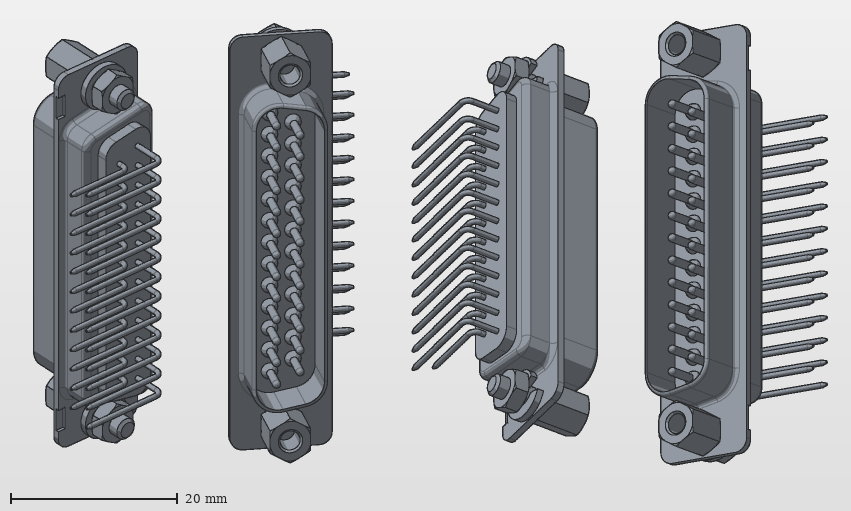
import cadquery as cq
import math


OVERALL_X = 17.2
OVERALL_Y = 16.65

FLANGE_FRONT = 5.95
FLANGE_BACK = 6.8
FLANGE_WIDTH = 12.5
FLANGE_LENGTH = 53.0
FLANGE_CORNER = 1.6
SCREW_OFFSET = 23.5
NOTCH_INNER_END = 20.8
NOTCH_OUTER_END = 23.8
NOTCH_DEPTH = 1.05

END_SLANT = math.tan(math.radians(10))
SHROUD_HALF_WIDTH = 4.6
SHROUD_HALF_LENGTH = 19.65
SHROUD_CORNER = 3.25
SHROUD_WALL = 0.5
SHROUD_TIP_ROUND = 0.4
SHROUD_FLARE = 0.6
SHELL_BACK = 10.95
SHELL_HALF_WIDTH = 5.4
SHELL_HALF_LENGTH = 20.1
SHELL_CORNER = 1.8
SHELL_BACK_ROUND = 0.8
SHELL_FLARE = 0.7
INSERT_BACK = 12.4
INSERT_HALF_WIDTH = 3.5
INSERT_HALF_LENGTH = 18.8
INSERT_CORNER = 1.95

PITCH = 2.75
ROW_OFFSET = 1.45
LONG_ROW_COUNT = 13
PIN_DIAMETER = 1.0
PIN_TIP_X = 0.9
BASE_DOME_RADIUS = 1.0
LEAD_DIAMETER = 0.7
LEAD_BEND = 0.95
LONG_LEAD_X = OVERALL_X - LEAD_DIAMETER / 2
SHORT_LEAD_X = LONG_LEAD_X - 2 * ROW_OFFSET
LEAD_END_Y = FLANGE_WIDTH / 2 - OVERALL_Y
LEAD_TAPER = 0.65
LEAD_END_DIAMETER = 0.3
COS_45 = math.sqrt(0.5)

STANDOFF_FLATS = 4.95
STANDOFF_BORE = 2.45
STANDOFF_BORE_DEPTH = 3.7
STANDOFF_COUNTERSINK = 3.0
COUNTERSINK_ANGLE = 90
STUD_DIAMETER = 2.75
STUD_END = 12.25
STUD_CHAMFER = 0.35
NUT_FLATS = 4.85
NUT_FRONT = 8.5
NUT_BACK = 10.45
HEX_CHAMFER_LENGTH = 0.15
HEX_CHAMFER_DEPTH = 0.3
WASHER_RADIUS = 3.1
WASHER_THICKNESS = 0.85
WASHER_GAP_ANGLE = 30.0
WASHER_OVERLAP = 0.05


def cylinder(x_start, x_end, radius, y=0.0, z=0.0):
    """Round bar parallel to X."""
    return cq.Workplane("YZ", origin=(x_start, y, z)).circle(radius).extrude(x_end - x_start)


def d_block(x_start, x_end, half_width, half_length, corner):
    """Block of D-shaped section, longer on its +Y side, with rounded corners."""
    shift = half_width * END_SLANT
    outline = [
        (half_width, half_length + shift),
        (-half_width, half_length - shift),
        (-half_width, -half_length + shift),
        (half_width, -half_length - shift),
    ]
    block = cq.Workplane("YZ", origin=(x_start, 0, 0)).polyline(outline).close()
    return block.extrude(x_end - x_start).edges("|X").fillet(corner)


def root_edges(body, x):
    """Edges in the plane at x that lie between the jackscrews and inside the flange sides."""
    reach = 0.005
    half_width = FLANGE_WIDTH / 2 - reach
    box = cq.selectors.BoxSelector(
        (x - reach, -half_width, -SCREW_OFFSET),
        (x + reach, half_width, SCREW_OFFSET),
    )
    return body.edges(box)


def make_shell():
    """Flange with the front shroud, the rear shell and the insulator behind it."""
    flange = (
        cq.Workplane("YZ", origin=(FLANGE_FRONT, 0, 0))
        .rect(FLANGE_WIDTH, FLANGE_LENGTH)
        .extrude(FLANGE_BACK - FLANGE_FRONT)
        .edges("|X").fillet(FLANGE_CORNER)
    )
    shroud = d_block(0, FLANGE_FRONT, SHROUD_HALF_WIDTH, SHROUD_HALF_LENGTH, SHROUD_CORNER)
    shroud = shroud.faces("<X").edges().fillet(SHROUD_TIP_ROUND)
    rear = d_block(FLANGE_BACK, SHELL_BACK, SHELL_HALF_WIDTH, SHELL_HALF_LENGTH, SHELL_CORNER)
    rear = rear.faces(">X").edges().fillet(SHELL_BACK_ROUND)
    shell = flange.union(shroud).union(rear)

    shell = root_edges(shell, FLANGE_FRONT).fillet(SHROUD_FLARE)
    shell = root_edges(shell, FLANGE_BACK).fillet(SHELL_FLARE)

    cavity = d_block(
        0,
        FLANGE_FRONT,
        SHROUD_HALF_WIDTH - SHROUD_WALL,
        SHROUD_HALF_LENGTH - SHROUD_WALL * math.hypot(1, END_SLANT),
        SHROUD_CORNER - SHROUD_WALL,
    )
    insert = d_block(SHELL_BACK, INSERT_BACK, INSERT_HALF_WIDTH, INSERT_HALF_LENGTH, INSERT_CORNER)
    return shell.cut(cavity).union(insert)


def cut_flange_details(shell):
    """Screw holes and edge notches at both ends of the flange."""
    notch_front = (FLANGE_FRONT + FLANGE_BACK) / 2
    for end in (1, -1):
        hole = cylinder(FLANGE_FRONT, FLANGE_BACK, STUD_DIAMETER / 2, z=end * SCREW_OFFSET)
        notch = cq.Workplane("XY").box(
            FLANGE_BACK - notch_front,
            NOTCH_DEPTH,
            NOTCH_OUTER_END - NOTCH_INNER_END,
            centered=(False, False, True),
        )
        notch_middle = end * (NOTCH_INNER_END + NOTCH_OUTER_END) / 2
        shell = shell.cut(hole).cut(notch.translate((notch_front, -FLANGE_WIDTH / 2, notch_middle)))
    return shell


def make_contact(y, z, lead_x):
    """Contact with a round-nosed pin, a dome at its base and a lead bent toward -Y."""
    pin_radius = PIN_DIAMETER / 2
    nose_mid = pin_radius * COS_45
    dome_mid = BASE_DOME_RADIUS * COS_45
    dome_top_x = FLANGE_FRONT - math.sqrt(BASE_DOME_RADIUS ** 2 - pin_radius ** 2)
    pin = (
        cq.Workplane("XY", origin=(0, y, z))
        .moveTo(PIN_TIP_X, 0)
        .threePointArc((PIN_TIP_X + pin_radius - nose_mid, nose_mid), (PIN_TIP_X + pin_radius, pin_radius))
        .lineTo(dome_top_x, pin_radius)
        .threePointArc((FLANGE_FRONT - dome_mid, dome_mid), (FLANGE_FRONT, BASE_DOME_RADIUS))
        .lineTo(FLANGE_FRONT, 0)
        .close()
        .revolve(360, (0, 0, 0), (1, 0, 0))
    )

    taper_start = LEAD_END_Y + LEAD_TAPER
    bend_mid = LEAD_BEND * (1 - COS_45)
    path = (
        cq.Workplane("XY", origin=(0, 0, z))
        .moveTo(INSERT_BACK, y)
        .lineTo(lead_x - LEAD_BEND, y)
        .threePointArc((lead_x - bend_mid, y - bend_mid), (lead_x, y - LEAD_BEND))
        .lineTo(lead_x, taper_start)
    )
    lead = cq.Workplane("YZ", origin=(INSERT_BACK, y, z)).circle(LEAD_DIAMETER / 2).sweep(path)
    tip = cq.Workplane(
        cq.Solid.makeCone(
            LEAD_DIAMETER / 2,
            LEAD_END_DIAMETER / 2,
            LEAD_TAPER,
            cq.Vector(lead_x, taper_start, z),
            cq.Vector(0, -1, 0),
        )
    )
    return pin, lead.union(tip)


def make_connector():
    """Shell with all its contacts as one body."""
    connector = cut_flange_details(make_shell())
    rows = (
        (ROW_OFFSET, LONG_ROW_COUNT, LONG_LEAD_X),
        (-ROW_OFFSET, LONG_ROW_COUNT - 1, SHORT_LEAD_X),
    )
    parts = []
    for y, count, lead_x in rows:
        for i in range(count):
            z = (i - (count - 1) / 2) * PITCH
            parts.extend(part.val() for part in make_contact(y, z, lead_x))
    return cq.Workplane(connector.val().fuse(*parts))


def hex_prism(x_start, x_end, across_flats):
    """Hexagonal bar along X with corners toward +Z and -Z, chamfered at both ends."""
    corner_radius = across_flats / math.sqrt(3)
    prism = (
        cq.Workplane("YZ", origin=(x_start, 0, 0))
        .polygon(6, 2 * corner_radius)
        .extrude(x_end - x_start)
        .rotate((0, 0, 0), (1, 0, 0), 90)
    )
    trim_bar = cylinder(x_start, x_end, corner_radius)
    trim_bar = trim_bar.faces("<X").edges().chamfer(HEX_CHAMFER_LENGTH, HEX_CHAMFER_DEPTH)
    trim_bar = trim_bar.faces(">X").edges().chamfer(HEX_CHAMFER_LENGTH, HEX_CHAMFER_DEPTH)
    return prism.intersect(trim_bar)


def make_lock_washer():
    """Split washer: a left-hand turn from the flange to the nut, split on its +Y side."""
    inner_radius = STUD_DIAMETER / 2 - WASHER_OVERLAP
    mean_radius = (WASHER_RADIUS + inner_radius) / 2
    turn = 1 - WASHER_GAP_ANGLE / 360
    rise = NUT_FRONT - FLANGE_BACK - WASHER_THICKNESS + WASHER_OVERLAP
    path = cq.Wire.makeHelix(rise / turn, rise, mean_radius, lefthand=True)
    washer = (
        cq.Workplane("XZ", origin=(mean_radius, 0, 0))
        .rect(WASHER_RADIUS - inner_radius, WASHER_THICKNESS)
        .sweep(cq.Workplane(path), isFrenet=True)
        .rotate((0, 0, 0), (0, 0, 1), 90 - WASHER_GAP_ANGLE / 2)
        .rotate((0, 0, 0), (0, 1, 0), 90)
    )
    return washer.translate((FLANGE_BACK + WASHER_THICKNESS / 2, 0, 0))


def make_jackscrew(z):
    """Hex standoff with its stud, lock washer and nut as one body."""
    standoff = hex_prism(0, FLANGE_FRONT, STANDOFF_FLATS)
    stud = cylinder(FLANGE_FRONT, STUD_END, STUD_DIAMETER / 2).faces(">X").edges().chamfer(STUD_CHAMFER)
    nut = hex_prism(NUT_FRONT, NUT_BACK, NUT_FLATS)
    jackscrew = standoff.union(stud).union(nut).union(make_lock_washer())
    jackscrew = (
        jackscrew.faces("<X").workplane(origin=(0, 0, 0))
        .cskHole(STANDOFF_BORE, STANDOFF_COUNTERSINK, COUNTERSINK_ANGLE, STANDOFF_BORE_DEPTH)
    )
    return jackscrew.translate((0, 0, z))


connector = make_connector()
jackscrews = [make_jackscrew(z) for z in (SCREW_OFFSET, -SCREW_OFFSET)]

result = cq.Compound.makeCompound([connector.val(), *[screw.val() for screw in jackscrews]])